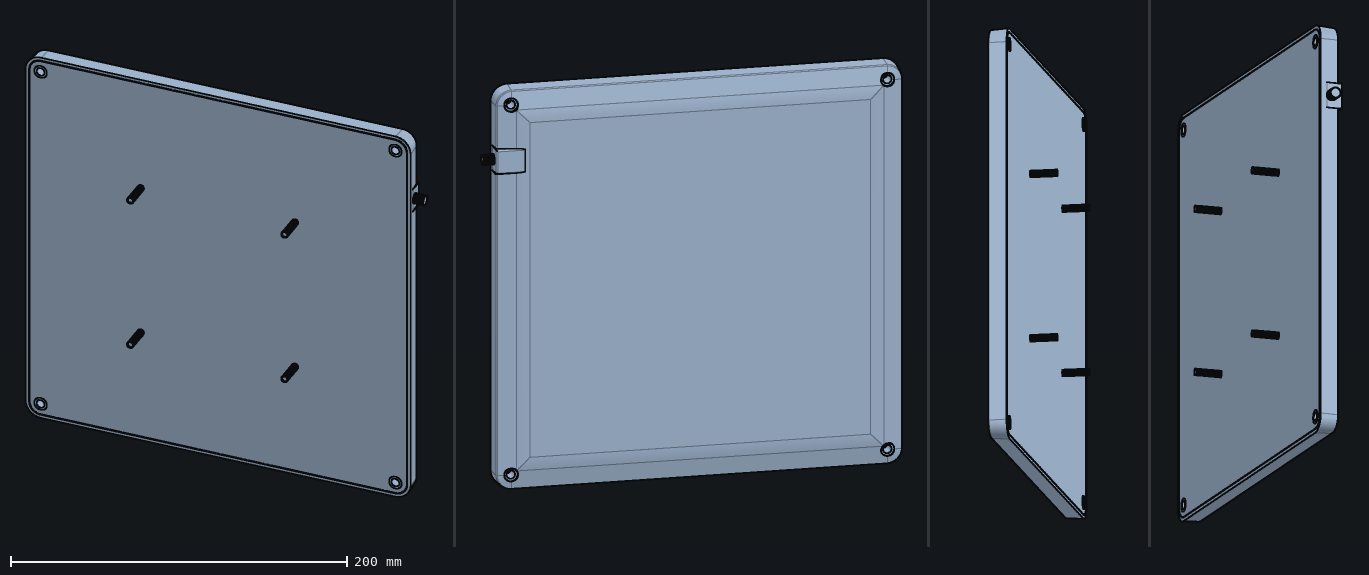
import cadquery as cq
import math

PANEL_SIZE = 250.0
CORNER_RADIUS = 10.0
DEPTH = 13.9
WALL_DRAFT = 4.0
BEVEL_WIDTH = 16.0
BEVEL_RISE = 2.5
SHOULDER_ROUND = 0.8
ROOF_ROUND = 51.3
SHOULDER_Y = DEPTH - BEVEL_RISE

RIM_WIDTH = 2.3
GROOVE_WIDTH = 0.3
GROOVE_DEPTH = 1.0

BUSHING_SPACING = 230.0
BUSHING_DIAMETER = 8.2
BUSHING_BORE = 5.1

STUD_SPACING = 100.0
STUD_DIAMETER = 4.0
STUD_LENGTH = 16.2
STUD_PITCH = 0.7

CONNECTOR_DIAMETER = 6.5
CONNECTOR_PITCH = 0.72
CONNECTOR_Y = 7.0
CONNECTOR_Z = 80.5
CONNECTOR_TIP_X = 256.5 - PANEL_SIZE / 2
POD_FACE_X = PANEL_SIZE / 2 - 0.3
POD_LENGTH = 18.0
POD_WIDTH = 15.5
POD_FRONT_Y = 2.5
POD_ROUND = 1.0

THREAD_DEPTH_PER_PITCH = 0.6


def square_corners(spacing):
    half = spacing / 2
    return [(x, z) for x in (-half, half) for z in (-half, half)]


def corner_cylinders(diameter, length):
    """Cylinders at the four bushing places, from the flat face towards +Y."""
    return (
        cq.Workplane("XZ")
        .pushPoints(square_corners(BUSHING_SPACING))
        .circle(diameter / 2)
        .extrude(-length)
    )


def rounded_square(inset, length, taper=0):
    """Block from y = 0 towards +Y, its outline set in from the panel's outline."""
    size = PANEL_SIZE - 2 * inset
    outline = cq.Sketch().rect(size, size).vertices().fillet(CORNER_RADIUS - inset)
    return cq.Workplane("XZ").placeSketch(outline).extrude(-length, taper=taper)


def threaded_rod(diameter, length, pitch):
    """Rod along +Z from the origin, with one V-shaped ring groove per pitch."""
    crest = diameter / 2
    root = crest - THREAD_DEPTH_PER_PITCH * pitch
    profile = cq.Workplane("XZ").lineTo(crest, 0)
    for turn in range(math.floor(length / pitch)):
        profile = profile.lineTo(root, (turn + 0.5) * pitch).lineTo(crest, (turn + 1) * pitch)
    return profile.lineTo(crest, length).lineTo(0, length).close().revolve(360, (0, 0), (0, 1))


def bevelled_shell():
    """Drafted walls topped by a shallow bevel that rises to the flat roof."""
    bevel_taper = math.degrees(math.atan2(BEVEL_WIDTH, BEVEL_RISE))
    walls = rounded_square(0, SHOULDER_Y, WALL_DRAFT)
    shell = (
        walls.faces(">Y")
        .wires()
        .toPending()
        .workplane(origin=(0, SHOULDER_Y, 0))
        .extrude(BEVEL_RISE, taper=bevel_taper)
    )
    shoulder_zone = cq.selectors.BoxSelector(
        (-PANEL_SIZE, SHOULDER_Y - 0.03, -PANEL_SIZE), (PANEL_SIZE, SHOULDER_Y + 0.03, PANEL_SIZE)
    )
    rounded = shell.edges(shoulder_zone).fillet(SHOULDER_ROUND)
    return rounded.faces(">Y").edges().fillet(ROOF_ROUND)


def connector_pod():
    """Raised block that carries the roof out to the +X side at the connector."""
    return (
        cq.Workplane("XY")
        .box(POD_LENGTH, DEPTH - POD_FRONT_Y, POD_WIDTH)
        .edges(">Y and (>X or >Z or <Z)")
        .fillet(POD_ROUND)
        .translate((POD_FACE_X - POD_LENGTH / 2, (DEPTH + POD_FRONT_Y) / 2, CONNECTOR_Z))
    )


def make_housing():
    groove = rounded_square(RIM_WIDTH, GROOVE_DEPTH).cut(
        rounded_square(RIM_WIDTH + GROOVE_WIDTH, GROOVE_DEPTH)
    )
    return (
        bevelled_shell()
        .union(connector_pod())
        .cut(groove)
        .cut(corner_cylinders(BUSHING_DIAMETER, DEPTH))
    )


def make_bushings():
    """Tubes from the flat face up to the shoulder, one solid per corner."""
    return corner_cylinders(BUSHING_DIAMETER, SHOULDER_Y).cut(corner_cylinders(BUSHING_BORE, SHOULDER_Y))


def make_stud(x, z):
    rod = threaded_rod(STUD_DIAMETER, STUD_LENGTH, STUD_PITCH)
    return rod.rotate((0, 0, 0), (1, 0, 0), 90).translate((x, 0, z))


def make_connector():
    rod = threaded_rod(CONNECTOR_DIAMETER, CONNECTOR_TIP_X - POD_FACE_X, CONNECTOR_PITCH)
    return rod.rotate((0, 0, 0), (0, 1, 0), 90).translate((POD_FACE_X, CONNECTOR_Y, CONNECTOR_Z))


housing = make_housing()
bushings = make_bushings()
studs = [make_stud(x, z) for x, z in square_corners(STUD_SPACING)]
connector = make_connector()

result = cq.Compound.makeCompound(
    [housing.solids().val(), *bushings.solids().vals(), *[stud.val() for stud in studs], connector.val()]
)